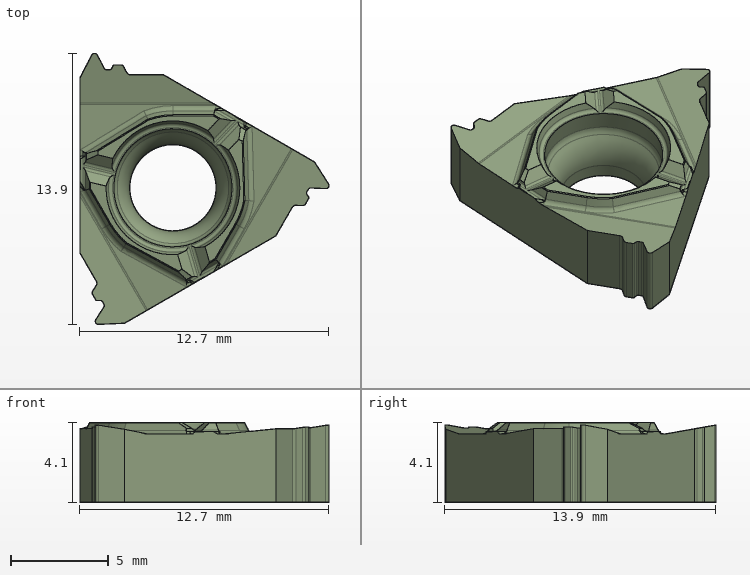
import cadquery as cq
import math

CORNERS = 3
CORNER_STEP = 360 / CORNERS
INSCRIBED_RADIUS = 9.525 / 2
FLOOR_Z = 3.508
TOP_Z = 4.1
RAKE_ANGLE = 10
RAKE_START = 4.285
RAKE_BLEND_RADIUS = 0.47
OVERSIZE = 10
BOSS_REACH = 5
SELECT_MARGIN = 0.01

FLANK_ANGLE = 62.5
TOOTH_X = -4.0055
TOOTH_CREST_Y = 6.874
TOOTH_RADIUS = 0.163
ROOT_Y = 6.036
ROOT_END_X = -3.17
ROOT_RADIUS = 0.11
CREST_Y = 6.286
CREST_END_X = -2.565
CREST_START_RADIUS = 0.1
CREST_END_RADIUS = 0.17
SHOULDER_Y = 5.785
SHOULDER_RADIUS = 0.2

BOSS_DRAFT = 27
BOSS_RADIUS = 3.714
SIDE_WALL_ANGLE = 60
SIDE_WALL_DISTANCE = 4.255
LONG_WALL_ANGLE = 121.5
LONG_WALL_DISTANCE = 3.64
BOSS_FOOT_RADIUS = 0.3
BOSS_TOP_CHAMFER = 0.04

PAD_Z = 3.62
PAD_TOOTH_EDGE = 3.95
PAD_LONG_EDGE = 3.72
PAD_ANGLE = LONG_WALL_ANGLE - CORNER_STEP
PAD_FOOT_RADIUS = 0.15

GROOVE_ANGLE = 46.3
GROOVE_TOP_HALF_WIDTH = 0.727
GROOVE_FLOOR_HALF_WIDTH = 0.14
GROOVE_ROOT_RADIUS = 0.25
GROOVE_START = 2.2
CORNER_CUT_DISTANCE = 3.83
CORNER_CUT_SLOPE = 28

HOLE_RADIUS = 4.4 / 2
THROAT_Z = 0.73
SEAT_TOP_RADIUS = 2.85
SEAT_TOP_Z = 2.3
BORE_RADIUS = 3.02
BORE_BOTTOM_Z = 2.66
RECESS_TOP_RADIUS = 3.42
RECESS_FLOOR_RADIUS = 3.24
RECESS_Z = PAD_Z
RECESS_ROOT_RADIUS = 0.22


def tan(angle):
    return math.tan(math.radians(angle))


def polar(radius, angle):
    return (radius * math.cos(math.radians(angle)), radius * math.sin(math.radians(angle)))


def turned(point, angle):
    x, y = point
    return polar(math.hypot(x, y), math.degrees(math.atan2(y, x)) + angle)


def around(solid):
    """The solid repeated at every corner."""
    copies = solid
    for i in range(1, CORNERS):
        copies = copies.union(solid.rotate((0, 0, 0), (0, 0, 1), i * CORNER_STEP))
    return copies


def line_crossing(angle_1, distance_1, angle_2, distance_2):
    """Where two lines meet, each given by its normal direction and distance from the centre."""
    n1 = polar(1, angle_1)
    n2 = polar(1, angle_2)
    det = n1[0] * n2[1] - n1[1] * n2[0]
    x = (distance_1 * n2[1] - distance_2 * n1[1]) / det
    y = (n1[0] * distance_2 - n2[0] * distance_1) / det
    return (x, y)


def rounded_polygon(workplane, corners):
    """Closed outline through (point, radius) corners, rounded where the radius is not zero."""
    path = None
    count = len(corners)
    for i, (point, radius) in enumerate(corners):
        vertex = cq.Vector(*point)
        if radius:
            back = (cq.Vector(*corners[i - 1][0]) - vertex).normalized()
            ahead = (cq.Vector(*corners[(i + 1) % count][0]) - vertex).normalized()
            half = back.getAngle(ahead) / 2
            start = vertex + back * (radius / math.tan(half))
            end = vertex + ahead * (radius / math.tan(half))
            to_middle = radius / math.sin(half) - radius
            middle = vertex + (back + ahead).normalized() * to_middle
        else:
            start = vertex
        if path is None:
            path = workplane.moveTo(start.x, start.y)
        else:
            path = path.lineTo(start.x, start.y)
        if radius:
            path = path.threePointArc((middle.x, middle.y), (end.x, end.y))
    return path.close()


def tooth_corners():
    """Outline corners of the +Y insert corner, clockwise from the insert's -X side."""
    slope = tan(FLANK_ANGLE)
    half_tip = math.radians(90 - FLANK_ANGLE)
    apex_y = TOOTH_CREST_Y - TOOTH_RADIUS + TOOTH_RADIUS / math.sin(half_tip)
    side_x = -INSCRIBED_RADIUS
    crest_start_x = ROOT_END_X + (CREST_Y - ROOT_Y) / slope
    shoulder_x = CREST_END_X + (CREST_Y - SHOULDER_Y) / slope
    return [
        ((side_x, apex_y - (TOOTH_X - side_x) * slope), 0),
        ((TOOTH_X, apex_y), TOOTH_RADIUS),
        ((TOOTH_X + (apex_y - ROOT_Y) / slope, ROOT_Y), ROOT_RADIUS),
        ((ROOT_END_X, ROOT_Y), ROOT_RADIUS),
        ((crest_start_x, CREST_Y), CREST_START_RADIUS),
        ((CREST_END_X, CREST_Y), CREST_END_RADIUS),
        ((shoulder_x, SHOULDER_Y), SHOULDER_RADIUS),
        (line_crossing(90, SHOULDER_Y, SIDE_WALL_ANGLE, INSCRIBED_RADIUS), 0),
    ]


def insert_prism():
    corners = []
    for i in range(CORNERS):
        for point, radius in tooth_corners():
            corners.append((turned(point, -i * CORNER_STEP), radius))
    return rounded_polygon(cq.Workplane("XY"), corners).extrude(TOP_Z)


def rake_wedge():
    """Sloping top face of the +Y corner, blended into the flat floor."""
    far_z = FLOOR_Z + (OVERSIZE - RAKE_START) * tan(RAKE_ANGLE)
    blend = RAKE_BLEND_RADIUS * tan(RAKE_ANGLE / 2)
    blend_end = polar(blend, RAKE_ANGLE)
    return (
        cq.Workplane("YZ")
        .moveTo(0, 0)
        .lineTo(0, FLOOR_Z)
        .lineTo(RAKE_START - blend, FLOOR_Z)
        .tangentArcPoint((RAKE_START + blend_end[0], FLOOR_Z + blend_end[1]), relative=False)
        .lineTo(OVERSIZE, far_z)
        .lineTo(OVERSIZE, 0)
        .close()
        .extrude(OVERSIZE, both=True)
    )


def boss_outline(z):
    """Boss outline at a height: per corner a side wall, a tooth wall, an arc and a long wall."""
    grow = (TOP_Z - z) * tan(BOSS_DRAFT)
    radius = BOSS_RADIUS + grow
    side = SIDE_WALL_DISTANCE + grow
    long = LONG_WALL_DISTANCE + grow
    arc_end_angle = LONG_WALL_ANGLE - math.degrees(math.acos(long / radius))
    next_side_angle = SIDE_WALL_ANGLE + CORNER_STEP
    first = line_crossing(SIDE_WALL_ANGLE, side, 90, radius)
    path = cq.Workplane("XY", origin=(0, 0, z)).moveTo(*first)
    for i in range(CORNERS):
        turn = i * CORNER_STEP
        path = path.lineTo(*polar(radius, 90 + turn))
        path = path.threePointArc(
            polar(radius, (90 + arc_end_angle) / 2 + turn), polar(radius, arc_end_angle + turn)
        )
        path = path.lineTo(*turned(line_crossing(LONG_WALL_ANGLE, long, next_side_angle, side), turn))
        if i < CORNERS - 1:
            path = path.lineTo(*turned(first, turn + CORNER_STEP))
    return path.close().val()


def boss():
    wires = [boss_outline(FLOOR_Z), boss_outline(TOP_Z)]
    return cq.Workplane(cq.Solid.makeLoft(wires, True))


def pad_outline(z):
    """Pad outline at a height, growing at 45 degrees below the pad's top."""
    grow = PAD_Z - z
    tooth_edge = PAD_TOOTH_EDGE + grow
    long_edge = PAD_LONG_EDGE + grow
    points = [
        (0, 0),
        polar(long_edge, PAD_ANGLE),
        line_crossing(90, tooth_edge, PAD_ANGLE, long_edge),
        (0, tooth_edge),
    ]
    return cq.Workplane("XY", origin=(0, 0, z)).polyline(points).close().val()


def pad():
    """Low pad under the boss that shows beside the insert's upper right side."""
    return cq.Workplane(cq.Solid.makeLoft([pad_outline(FLOOR_Z), pad_outline(PAD_Z)], True))


def pad_foot():
    """Concave round where the side wall of the boss meets the pad."""
    grow = (TOP_Z - PAD_Z) * tan(BOSS_DRAFT)
    foot = SIDE_WALL_DISTANCE + grow
    tangent_length = PAD_FOOT_RADIUS * tan((90 - BOSS_DRAFT) / 2)
    on_wall = polar(tangent_length, 90 + BOSS_DRAFT)
    centre = (tangent_length, PAD_FOOT_RADIUS)
    to_middle = polar(PAD_FOOT_RADIUS, 180 + (90 + BOSS_DRAFT) / 2)
    arc_middle = (centre[0] + to_middle[0], centre[1] + to_middle[1])
    tooth_end = line_crossing(SIDE_WALL_ANGLE, foot, 90, BOSS_RADIUS + grow)
    long_end = line_crossing(SIDE_WALL_ANGLE, foot, PAD_ANGLE, LONG_WALL_DISTANCE + grow)
    along_wall = cq.Vector(*long_end) - cq.Vector(*tooth_end)
    facing = polar(1, SIDE_WALL_ANGLE)
    origin = cq.Vector(*tooth_end) + cq.Vector(0, 0, PAD_Z)
    return (
        cq.Workplane(cq.Plane(origin=origin, xDir=(*facing, 0), normal=along_wall))
        .moveTo(-tangent_length, 0)
        .lineTo(tangent_length, 0)
        .threePointArc(arc_middle, on_wall)
        .lineTo(-tangent_length, on_wall[1])
        .close()
        .extrude(along_wall.Length)
    )


def groove():
    """V groove with rounded floor corners, running outwards along GROOVE_ANGLE."""
    depth = TOP_Z - PAD_Z
    slope = depth / (GROOVE_TOP_HALF_WIDTH - GROOVE_FLOOR_HALF_WIDTH)
    wide = GROOVE_TOP_HALF_WIDTH + depth / slope
    corners = [
        ((-wide, TOP_Z + depth), 0),
        ((-GROOVE_FLOOR_HALF_WIDTH, PAD_Z), GROOVE_ROOT_RADIUS),
        ((GROOVE_FLOOR_HALF_WIDTH, PAD_Z), GROOVE_ROOT_RADIUS),
        ((wide, TOP_Z + depth), 0),
    ]
    start = polar(GROOVE_START, GROOVE_ANGLE)
    along = polar(1, GROOVE_ANGLE)
    plane = cq.Plane(origin=(*start, 0), xDir=(-along[1], along[0], 0), normal=(*along, 0))
    return rounded_polygon(cq.Workplane(plane), corners).extrude(OVERSIZE)


def corner_cut():
    """Sloping cut on the clockwise side of the groove, falling towards the insert's side."""
    facing = polar(1, SIDE_WALL_ANGLE)
    clockwise = (facing[1], -facing[0], 0)
    at_groove = CORNER_CUT_DISTANCE * tan(SIDE_WALL_ANGLE - GROOVE_ANGLE)
    plane = cq.Plane(origin=cq.Vector(*clockwise) * at_groove, xDir=(*facing, 0), normal=clockwise)
    reach = INSCRIBED_RADIUS - CORNER_CUT_DISTANCE
    return (
        cq.Workplane(plane)
        .polyline([
            (CORNER_CUT_DISTANCE, TOP_Z),
            (INSCRIBED_RADIUS, TOP_Z - reach * tan(CORNER_CUT_SLOPE)),
            (INSCRIBED_RADIUS, TOP_Z),
        ])
        .close()
        .extrude(BOSS_REACH)
    )


def screw_hole():
    """Revolved hole: straight throat, trumpet-shaped screw seat, bore and flared recess."""
    seat_drop = SEAT_TOP_Z - THROAT_Z
    seat_width = SEAT_TOP_RADIUS - HOLE_RADIUS
    seat_curve = (seat_drop ** 2 + seat_width ** 2) / (2 * seat_width)
    half_sweep = math.asin(seat_drop / seat_curve) / 2
    seat_middle = (
        HOLE_RADIUS + seat_curve * (1 - math.cos(half_sweep)),
        THROAT_Z + seat_curve * math.sin(half_sweep),
    )
    corners = [
        ((0, RECESS_Z), 0),
        ((RECESS_FLOOR_RADIUS, RECESS_Z), RECESS_ROOT_RADIUS),
        ((RECESS_TOP_RADIUS, TOP_Z), 0),
        ((0, TOP_Z), 0),
    ]
    axis = ((0, 0), (0, 1))
    recess = rounded_polygon(cq.Workplane("XZ"), corners).revolve(360, *axis)
    bore = (
        cq.Workplane("XZ")
        .moveTo(0, 0)
        .lineTo(HOLE_RADIUS, 0)
        .lineTo(HOLE_RADIUS, THROAT_Z)
        .threePointArc(seat_middle, (SEAT_TOP_RADIUS, SEAT_TOP_Z))
        .tangentArcPoint((BORE_RADIUS, BORE_BOTTOM_Z), relative=False)
        .lineTo(BORE_RADIUS, RECESS_Z)
        .lineTo(0, RECESS_Z)
        .close()
        .revolve(360, *axis)
    )
    return recess.union(bore)


def boss_on_plate():
    """Boss with rounded foot, on a wide plate together with the pads."""
    plate = cq.Workplane("XY").circle(OVERSIZE).extrude(FLOOR_Z)
    base = plate.union(boss().faces(">Z").edges().chamfer(BOSS_TOP_CHAMFER))
    foot = cq.selectors.BoxSelector(
        (-BOSS_REACH, -BOSS_REACH, FLOOR_Z - SELECT_MARGIN),
        (BOSS_REACH, BOSS_REACH, FLOOR_Z + SELECT_MARGIN),
    )
    base = base.edges(foot).fillet(BOSS_FOOT_RADIUS)
    return base.union(around(pad())).union(around(pad_foot()))


body = boss_on_plate()
body = body.cut(around(groove()))
body = body.cut(around(corner_cut()))
body = body.union(around(rake_wedge()))
result = body.intersect(insert_prism()).cut(screw_hole())